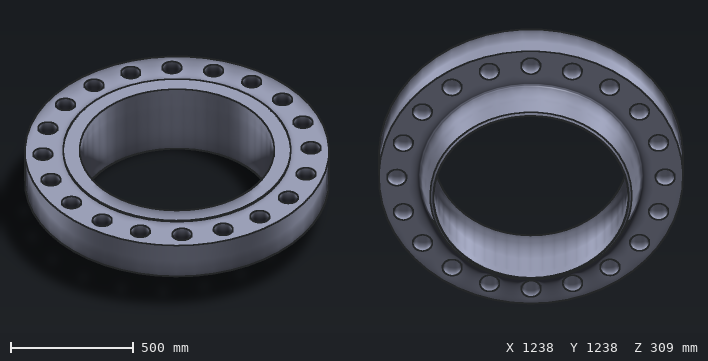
import cadquery as cq

flange_diameter = 1238.0
flange_thickness = 161.0

face_diameter = 926.0
face_height = 6.0

hub_length = 142.0
hub_top_diameter = 906.0
hub_end_diameter = 821.0
hub_fillet = 15.0
weld_bevel_height = 7.0
weld_bevel_width = 12.0

bore_diameter = 792.0

bolt_count = 20
bolt_circle_diameter = 1092.0
bolt_hole_diameter = 79.0


def make_body():
    """Revolve the solid outline of hub, plate and raised face about Z."""
    flange_radius = flange_diameter / 2
    face_radius = face_diameter / 2
    hub_end_radius = hub_end_diameter / 2
    outline = (
        cq.Workplane("XZ")
        .moveTo(0, -hub_length)
        .lineTo(hub_end_radius - weld_bevel_width, -hub_length)
        .lineTo(hub_end_radius, weld_bevel_height - hub_length)
        .lineTo(hub_top_diameter / 2, 0)
        .lineTo(flange_radius, 0)
        .lineTo(flange_radius, flange_thickness)
        .lineTo(face_radius, flange_thickness)
        .lineTo(face_radius, flange_thickness + face_height)
        .lineTo(0, flange_thickness + face_height)
        .close()
    )
    return outline.revolve(360, (0, 0, 0), (0, 1, 0))


def round_hub_root(body):
    """Blend the hub into the underside of the plate."""
    underside = body.faces("%PLANE").faces(">Z[1]")
    root = cq.selectors.RadiusNthSelector(0)
    return underside.edges(root).fillet(hub_fillet)


def cut_holes(body):
    """Cut the bore and the ring of bolt holes right through."""
    top = body.faces(">Z").workplane()
    bored = top.circle(bore_diameter / 2).cutThruAll()
    return (
        bored.faces(">Z").workplane()
        .polarArray(bolt_circle_diameter / 2, 0, 360, bolt_count)
        .circle(bolt_hole_diameter / 2)
        .cutThruAll()
    )


result = cut_holes(round_hub_root(make_body()))